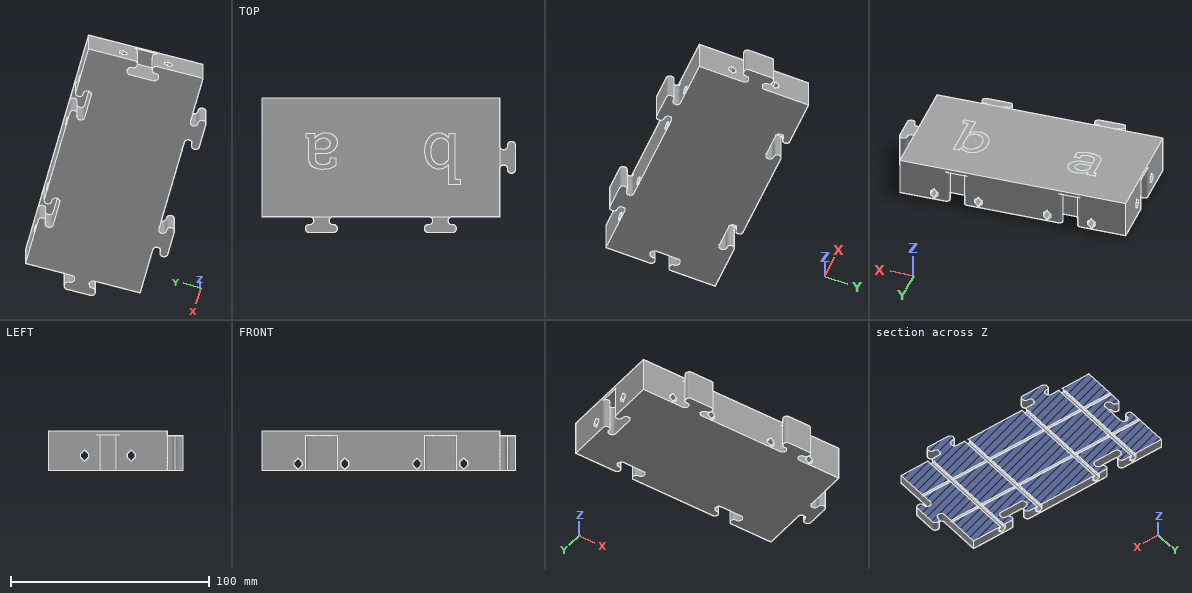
import cadquery as cq


overall_length = 128.0
tab_reach = 7.9
height = 20.0
block_length = overall_length - tab_reach
tile = block_length / 2
tile_centres = (tile / 2, tile * 3 / 2)
mid_y = tile / 2

neck_width = 7.9
neck_round = 1.8
neck_flat = 0.3
head_width = 16.1
head_flat = 0.3
tab_drop = 2.3
socket_roof = 1.9

hole_diameter = 4.0
hole_spacing = 23.5
cross_hole_z = 3.5
long_hole_z = 7.5

inlay_depth = 1.0
foot_y = -12.0


def tab_profile_prism(top):
    """T profile rooted on the X axis and pointing to -Y, from z = 0 up to top."""
    half_neck = neck_width / 2
    half_root = half_neck + neck_round
    half_head = head_width / 2
    head_start = -(2 * neck_round + neck_flat)
    head_round = (tab_reach + head_start - head_flat) / 2
    half_face = half_head - head_round
    right_half = (
        cq.Workplane("XY")
        .lineTo(half_root, 0)
        .radiusArc((half_neck, -neck_round), -neck_round)
        .line(0, -neck_flat)
        .radiusArc((half_root, head_start), -neck_round)
        .lineTo(half_face, head_start)
        .radiusArc((half_head, head_start - head_round), head_round)
        .line(0, -head_flat)
        .radiusArc((half_face, -tab_reach), head_round)
        .lineTo(0, -tab_reach)
        .close()
        .extrude(top)
    )
    return right_half.union(right_half.mirror("YZ")).clean()


def on_x_side(prism, x):
    """Turn a profile prism to point along +X and root it on the plane at x."""
    return prism.rotate((0, 0, 0), (0, 0, 1), 90).translate((x, mid_y, 0))


def pointed_hole(length):
    """Hole along +Y from the origin, with its points facing up and down."""
    round_part = cq.Workplane("XZ").circle(hole_diameter / 2).extrude(-length)
    points = (
        cq.Workplane("XZ")
        .transformed(rotate=(0, 0, 45))
        .rect(hole_diameter, hole_diameter)
        .extrude(-length)
    )
    width_limit = cq.Workplane("XZ").rect(hole_diameter, 2 * hole_diameter).extrude(-length)
    return round_part.union(points.intersect(width_limit))


def make_block():
    block = cq.Workplane("XY").box(block_length, tile, height, centered=False)

    tab = tab_profile_prism(height - tab_drop)
    for x in tile_centres:
        block = block.union(tab.translate((x, 0, 0)))
    block = block.union(on_x_side(tab, block_length))

    socket = tab_profile_prism(height - socket_roof)
    for x in tile_centres:
        block = block.cut(socket.translate((x, tile, 0)))
    block = block.cut(on_x_side(socket, 0))

    cross_hole = pointed_hole(tile)
    long_hole = pointed_hole(block_length).rotate((0, 0, 0), (0, 0, 1), -90)
    for offset in (-hole_spacing / 2, hole_spacing / 2):
        for x in tile_centres:
            block = block.cut(cross_hole.translate((x + offset, 0, cross_hole_z)))
        block = block.cut(long_hole.translate((0, mid_y + offset, long_hole_z)))
    return block


def letter_a():
    """Upright letter a, centred on its tile."""
    outline = (
        cq.Workplane("XY")
        .moveTo(7.7, foot_y)
        .lineTo(3.3, foot_y)
        .lineTo(3.3, -9.7)
        .spline(
            [(0.8, -11.6), (-2.4, -12.4), (-6.7, -10.7), (-8.0, -7.3),
             (-6.4, -3.8), (-2.2, -2.0)],
            includeCurrent=True,
        )
        .lineTo(3.1, -2.0)
        .lineTo(3.1, 0.9)
        .spline(
            [(1.9, 3.0), (-0.8, 3.6), (-3.3, 3.1), (-4.4, 2.2)],
            includeCurrent=True,
        )
        .lineTo(-4.4, 0.4)
        .lineTo(-7.3, 0.4)
        .lineTo(-7.3, 3.8)
        .spline(
            [(-5.5, 5.1), (-2.5, 5.9), (1.2, 5.9), (5.0, 4.2),
             (6.4, 0.9)],
            includeCurrent=True,
        )
        .lineTo(6.4, -9.6)
        .lineTo(7.7, -10.0)
        .close()
        .extrude(inlay_depth)
    )
    counter = (
        cq.Workplane("XY")
        .moveTo(3.1, -4.2)
        .lineTo(3.1, -7.3)
        .spline(
            [(1.2, -9.1), (-1.7, -9.7), (-4.5, -7.0), (-3.1, -4.7),
             (-0.8, -4.2)],
            includeCurrent=True,
        )
        .close()
        .extrude(inlay_depth)
    )
    return outline.cut(counter)


def letter_b():
    """Upright letter b, centred on its tile."""
    outline = (
        cq.Workplane("XY")
        .moveTo(-4.5, foot_y)
        .lineTo(-7.3, foot_y)
        .lineTo(-7.3, 10.6)
        .lineTo(-7.9, 11.1)
        .lineTo(-10.1, 11.1)
        .lineTo(-10.1, 13.5)
        .lineTo(-4.1, 13.5)
        .lineTo(-4.1, 3.6)
        .spline(
            [(-2.4, 5.0), (1.0, 5.9), (5.8, 3.3), (7.9, -3.5),
             (5.8, -10.0), (1.0, -12.4), (-2.4, -11.4), (-4.1, -9.7)],
            includeCurrent=True,
        )
        .close()
        .extrude(inlay_depth)
    )
    counter = (
        cq.Workplane("XY")
        .moveTo(-4.1, -7.0)
        .lineTo(-4.1, 0.9)
        .spline(
            [(-3.0, 2.4), (0.1, 3.6), (3.3, 1.9), (4.7, -3.5),
             (3.6, -7.7), (0.1, -9.7), (-2.4, -9.1), (-4.1, -7.0)],
            includeCurrent=True,
        )
        .close()
        .extrude(inlay_depth)
    )
    return outline.cut(counter)


def inlay(letter, x):
    """Turn a letter half round and set it flush with the top of the tile centred at x."""
    turned = letter.rotate((0, 0, 0), (0, 0, 1), 180)
    return turned.translate((x, mid_y, height - inlay_depth))


inlay_a = inlay(letter_a(), tile_centres[0])
inlay_b = inlay(letter_b(), tile_centres[1])
block = make_block().cut(inlay_a).cut(inlay_b)

result = cq.Compound.makeCompound([block.val(), inlay_a.val(), inlay_b.val()])